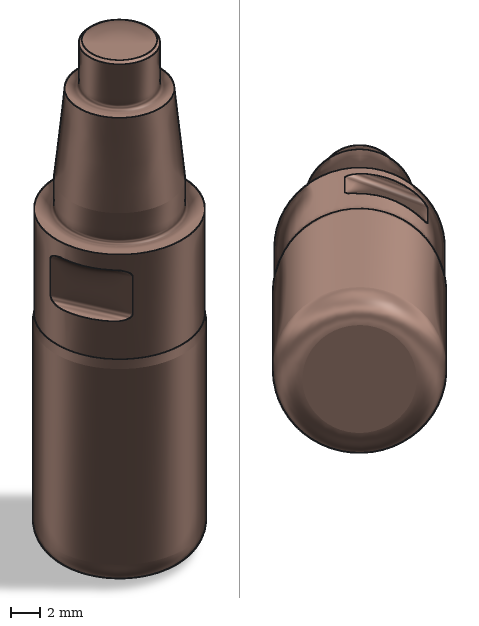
import cadquery as cq

total_height = 41.2

sleeve_diameter = 12.0
sleeve_radius = sleeve_diameter / 2
sleeve_bottom_fillet = 2.05
sleeve_taper_start = 18.1
sleeve_top = 18.83

collar_radius = 5.9
collar_top = 27.4
neck_radius = 4.55
neck_fillet = 0.37
taper_start = 29.9
taper_top = 37.25
taper_top_radius = 3.8
tip_radius = 2.8
tip_fillet = 0.45
tip_chamfer = 0.2

flat_distance = 5.03
flat_bottom = 21.9
flat_top = 26.12
flat_fillet = 0.6


def make_sleeve():
    """Solid barrel with a rounded bottom and a slight taper up to the collar."""
    profile = (
        cq.Workplane("XZ")
        .moveTo(0, 0)
        .lineTo(sleeve_radius - sleeve_bottom_fillet, 0)
        .radiusArc((sleeve_radius, sleeve_bottom_fillet), -sleeve_bottom_fillet)
        .lineTo(sleeve_radius, sleeve_taper_start)
        .lineTo(collar_radius, sleeve_top)
        .lineTo(0, sleeve_top)
        .close()
    )
    return profile.revolve(360, (0, 0, 0), (0, 1, 0))


def make_turned_fitting():
    """Collar, filleted neck, taper and chamfered tip as one revolved shape."""
    profile = (
        cq.Workplane("XZ")
        .moveTo(0, sleeve_top)
        .lineTo(collar_radius, sleeve_top)
        .lineTo(collar_radius, collar_top)
        .lineTo(neck_radius + neck_fillet, collar_top)
        .radiusArc((neck_radius, collar_top + neck_fillet), neck_fillet)
        .lineTo(neck_radius, taper_start)
        .lineTo(taper_top_radius, taper_top)
        .lineTo(tip_radius + tip_fillet, taper_top)
        .radiusArc((tip_radius, taper_top + tip_fillet), tip_fillet)
        .lineTo(tip_radius, total_height - tip_chamfer)
        .lineTo(tip_radius - tip_chamfer, total_height)
        .lineTo(0, total_height)
        .close()
    )
    return profile.revolve(360, (0, 0, 0), (0, 1, 0))


def make_flat_cutter(side):
    """Block that cuts one wrench flat, rounded along its two inner edges."""
    block_depth = 2 * (collar_radius - flat_distance)
    inner_face = "<Y" if side > 0 else ">Y"
    return (
        cq.Workplane("XY")
        .box(2 * collar_radius, block_depth, flat_top - flat_bottom)
        .faces(inner_face)
        .edges("|X")
        .fillet(flat_fillet)
        .translate((0, side * collar_radius, (flat_top + flat_bottom) / 2))
    )


def make_fitting():
    """Turned fitting with both wrench flats cut into its collar."""
    fitting = make_turned_fitting()
    for side in (-1, 1):
        fitting = fitting.cut(make_flat_cutter(side))
    return fitting


sleeve = make_sleeve()
fitting = make_fitting()

result = cq.Compound.makeCompound([sleeve.val(), fitting.val()])